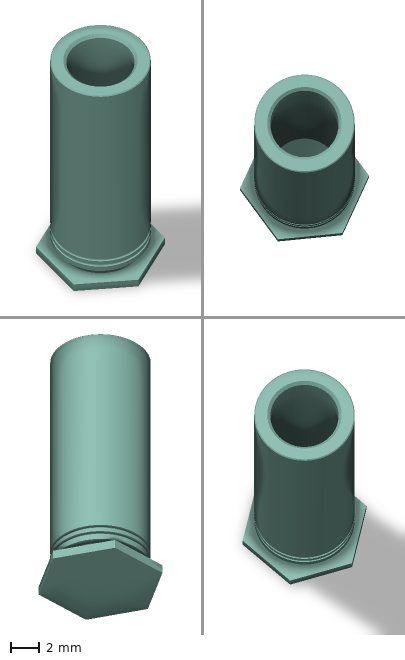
import cadquery as cq
import math

total_height = 19.05
hex_across_flats = 7.92
hex_thickness = 0.67

barrel_diameter = 7.1
groove_diameter = 6.61
neck_diameter = 6.1

neck_top = 1.4
groove_width = 0.23
groove_bottoms = (1.83, 2.36)
rim_chamfer = 0.08

bore_diameter = 4.82
mouth_diameter = 5.25
drill_point_angle = 118.0
bore_floor = 3.81


def cylinder(diameter, bottom, top):
    """Upright cylinder on the part axis between two heights."""
    return cq.Workplane("XY").workplane(offset=bottom).circle(diameter / 2).extrude(top - bottom)


def make_head():
    across_corners = hex_across_flats / math.cos(math.radians(30))
    return cq.Workplane("XY").polygon(6, across_corners).extrude(hex_thickness)


def make_barrel():
    barrel = cylinder(barrel_diameter, neck_top, total_height)
    barrel = barrel.faces(">Z").edges().chamfer(rim_chamfer)
    for bottom in groove_bottoms:
        top = bottom + groove_width
        ring = cylinder(barrel_diameter, bottom, top).cut(cylinder(groove_diameter, bottom, top))
        barrel = barrel.cut(ring)
    return barrel


def make_bore():
    """Revolved bore: drill point, straight wall and 45-degree mouth chamfer."""
    bore_radius = bore_diameter / 2
    mouth_radius = mouth_diameter / 2
    point_depth = bore_radius / math.tan(math.radians(drill_point_angle / 2))
    mouth_depth = mouth_radius - bore_radius
    return (
        cq.Workplane("XZ")
        .moveTo(0, bore_floor - point_depth)
        .lineTo(bore_radius, bore_floor)
        .lineTo(bore_radius, total_height - mouth_depth)
        .lineTo(mouth_radius, total_height)
        .lineTo(0, total_height)
        .close()
        .revolve(360, (0, 0), (0, 1))
    )


neck = cylinder(neck_diameter, hex_thickness, neck_top)
result = make_head().union(neck).union(make_barrel()).cut(make_bore())